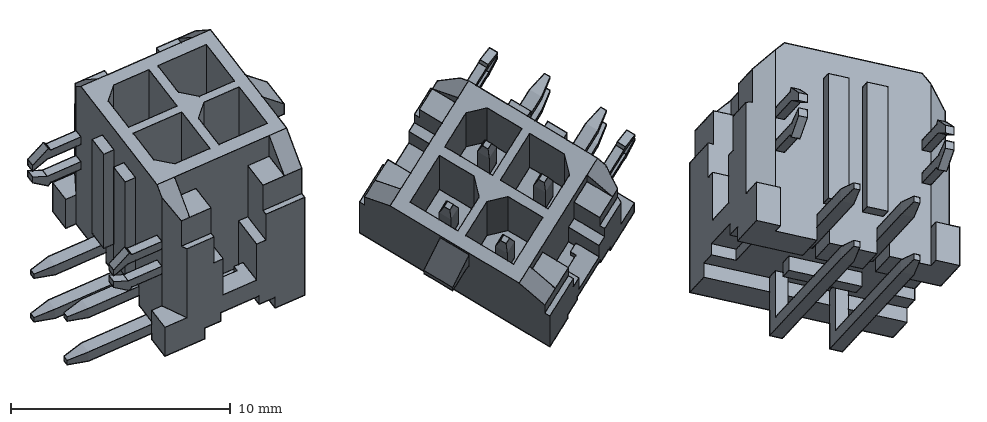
import cadquery as cq


HEIGHT = 9.92
DEPTH = 6.82
HALF_WIDTH = 10.15 / 2
UPPER_HALF_WIDTH = 4.81
CORE_HALF_WIDTH = 3.44
FRONT_HALF_WIDTH = 3.88
STEP_Z = 6.75
SIDE_TOP_Z = 8.49
CORNER_SLANT = 0.62
FRONT_BLOCK_HEIGHT = 2.0
FRONT_PROUD = 0.54
CORNER_WEB = 0.92

CHANNEL_Y = DEPTH / 2
CHANNEL_WIDTH = 2.73
CHANNEL_STEP_Z = 4.97
NARROW_WIDTH = 1.76
CHANNEL_FLOOR_Z = 2.49
POCKET_HALF_WIDTH = 3.84
POCKET_TAB_HALF_WIDTH = 4.13
POCKET_TAB_LENGTH = 0.8
POCKET_DEPTH = 0.7

UNDERCUT_FRONT_Y = 1.56
UNDERCUT_BACK_Y = 5.26
UNDERCUT_HEIGHT = 0.74
SIDE_RELIEF_WIDTH = 2.02
SIDE_RELIEF_INNER_X = POCKET_HALF_WIDTH
SIDE_RELIEF_TOP_Z = 1.32
BAR_Y = 3.39

SOCKET_SIZE = 2.55
SOCKET_PITCH_X = 2.965
SOCKET_FRONT_Y = 1.905
SOCKET_BACK_Y = 4.925
SOCKET_CHAMFER = 0.7
SOCKET_FLOOR_Z = 2.5

PIN_SIZE = 0.64
PIN_PITCH = 3.0
PIN_TIP_SIZE = 0.3
PIN_TAPER = 1.03
PIN_TOP_Z = 7.0
PIN_END_Y = -3.69
FRONT_PIN_Y = 1.56
BACK_PIN_Y = 4.885
FRONT_PIN_TAIL_Z = 1.0
BACK_PIN_TAIL_Z = FRONT_PIN_TAIL_Z - PIN_PITCH

RIB_WIDTH = 1.04
RIB_X = 0.97

LATCH_WIDTH = 1.54
LATCH_REACH = 1.43
LATCH_TOP_Z = 9.55
LATCH_BOTTOM_Z = 7.42
LATCH_FILLET = 0.42

CLIP_THICKNESS = FRONT_HALF_WIDTH - CORE_HALF_WIDTH
CLIP_MID_Z = 5.32
CLIP_INNER = 0.59
CLIP_OUTER = 1.12
CLIP_ROOT = 0.6
BARB_START_Y = -1.58
BARB_PEAK_Y = -1.71
BARB_PEAK = 1.29
BEND_Y = -1.77
CLIP_END_Y = -2.54
CLIP_END_INNER = 0.19
CLIP_END_OUTER = 0.60

SIDES = (-1, 1)


def block(x0, x1, y0, y1, z0, z1):
    """Axis-aligned box given by two opposite corners."""
    lengths = (abs(x1 - x0), abs(y1 - y0), abs(z1 - z0))
    low_corner = cq.Vector(min(x0, x1), min(y0, y1), min(z0, z1))
    return cq.Workplane(obj=cq.Solid.makeBox(*lengths, low_corner))


def centred_block(x, width, y, depth, z0, z1):
    """Box centred on (x, y) and reaching from z0 to z1."""
    return block(x - width / 2, x + width / 2, y - depth / 2, y + depth / 2, z0, z1)


def housing_blank():
    """Front outline with chamfered shoulders and stepped sides, run through the depth."""
    right_edge = [
        (HALF_WIDTH, 0),
        (HALF_WIDTH, STEP_Z),
        (UPPER_HALF_WIDTH, STEP_Z),
        (UPPER_HALF_WIDTH, SIDE_TOP_Z),
        (CORE_HALF_WIDTH, HEIGHT),
    ]
    left_edge = [(-x, z) for x, z in reversed(right_edge)]
    return cq.Workplane("XZ").polyline(right_edge + left_edge).close().extrude(-DEPTH)


def side_cuts(side):
    """Channel, lowered wall top, slanted front corner, clip pocket and foot relief of one side."""
    inner = side * CORE_HALF_WIDTH
    outer = side * HALF_WIDTH
    wall = side * (CORE_HALF_WIDTH + HALF_WIDTH) / 2
    wall_width = HALF_WIDTH - CORE_HALF_WIDTH
    cuts = centred_block(wall, wall_width, CHANNEL_Y, CHANNEL_WIDTH, CHANNEL_STEP_Z, HEIGHT)
    cuts = cuts.union(
        centred_block(wall, wall_width, CHANNEL_Y, NARROW_WIDTH, CHANNEL_FLOOR_Z, HEIGHT)
    )
    cuts = cuts.union(block(inner, outer, CORNER_WEB, DEPTH - CORNER_WEB, SIDE_TOP_Z, HEIGHT))

    corner = [(side * FRONT_HALF_WIDTH, 0), (outer, 0), (outer, CORNER_SLANT)]
    slant = cq.Workplane("XY").workplane(offset=FRONT_BLOCK_HEIGHT).polyline(corner).close()
    cuts = cuts.union(slant.extrude(HEIGHT - FRONT_BLOCK_HEIGHT))

    pocket_floor = CHANNEL_FLOOR_Z - POCKET_DEPTH
    for half_width, length in (
        (POCKET_HALF_WIDTH, NARROW_WIDTH),
        (POCKET_TAB_HALF_WIDTH, POCKET_TAB_LENGTH),
    ):
        pocket_x = side * (CORE_HALF_WIDTH + half_width) / 2
        pocket_width = half_width - CORE_HALF_WIDTH
        cuts = cuts.union(
            centred_block(pocket_x, pocket_width, CHANNEL_Y, length, pocket_floor, CHANNEL_FLOOR_Z)
        )

    relief_front = CHANNEL_Y - SIDE_RELIEF_WIDTH / 2
    relief_back = CHANNEL_Y + SIDE_RELIEF_WIDTH / 2
    relief = block(side * SIDE_RELIEF_INNER_X, outer, relief_front, relief_back, 0, SIDE_RELIEF_TOP_Z)
    return cuts.union(relief)


def undercut():
    """Opening across the whole underside, with a slot to the front below each pin tail."""
    cut = block(-HALF_WIDTH, HALF_WIDTH, UNDERCUT_FRONT_Y, UNDERCUT_BACK_Y, 0, UNDERCUT_HEIGHT)
    slot_depth = UNDERCUT_FRONT_Y
    for side in SIDES:
        pin_x = side * PIN_PITCH / 2
        cut = cut.union(
            centred_block(pin_x, PIN_SIZE, slot_depth / 2, slot_depth, 0, FRONT_PIN_TAIL_Z)
        )
    return cut


def socket(side, y, chamfered_edge):
    """Square contact socket with one chamfered corner."""
    x = side * SOCKET_PITCH_X / 2
    cavity = centred_block(x, SOCKET_SIZE, y, SOCKET_SIZE, SOCKET_FLOOR_Z, HEIGHT)
    return cavity.edges("|Z").edges("<Y").edges(chamfered_edge).chamfer(SOCKET_CHAMFER)


def tapered_tip():
    """Pin tip rising from the origin along +Z."""
    base = cq.Workplane("XY").rect(PIN_SIZE, PIN_SIZE)
    return base.workplane(offset=PIN_TAPER).rect(PIN_TIP_SIZE, PIN_TIP_SIZE).loft(ruled=True)


def pin(x, y, tail_z):
    """Right-angle pin: upright in its socket, tail running out to the front."""
    half = PIN_SIZE / 2
    upright_end = PIN_TOP_Z - PIN_TAPER
    tail_end = PIN_END_Y + PIN_TAPER
    upright = centred_block(x, PIN_SIZE, y, PIN_SIZE, tail_z - half, upright_end)
    tail = block(x - half, x + half, tail_end, y + half, tail_z - half, tail_z + half)
    top_tip = tapered_tip().translate((x, y, upright_end))
    tail_tip = tapered_tip().rotate((0, 0, 0), (1, 0, 0), 90).translate((x, tail_end, tail_z))
    return upright.union(tail).union(top_tip).union(tail_tip)


def latch():
    """Ramped latch on the back face, filleted into it underneath."""
    tip_y = DEPTH + LATCH_REACH
    ramp_end_z = LATCH_TOP_Z - LATCH_REACH
    profile = (
        cq.Workplane("YZ")
        .workplane(offset=-LATCH_WIDTH / 2)
        .moveTo(DEPTH, LATCH_TOP_Z)
        .lineTo(tip_y, ramp_end_z)
        .lineTo(tip_y, LATCH_BOTTOM_Z)
        .lineTo(DEPTH + LATCH_FILLET, LATCH_BOTTOM_Z)
        .radiusArc((DEPTH, LATCH_BOTTOM_Z - LATCH_FILLET), -LATCH_FILLET)
        .close()
    )
    return profile.extrude(LATCH_WIDTH)


def clip_leg(side, direction):
    """Barbed leg above (direction 1) or below (-1) the middle of a board clip."""
    outline = [
        (CLIP_ROOT, CLIP_OUTER),
        (BARB_START_Y, CLIP_OUTER),
        (BARB_PEAK_Y, BARB_PEAK),
        (CLIP_END_Y, CLIP_END_OUTER),
        (CLIP_END_Y, CLIP_END_INNER),
        (BEND_Y, CLIP_INNER),
        (CLIP_ROOT, CLIP_INNER),
    ]
    points = [(y, CLIP_MID_Z + direction * offset) for y, offset in outline]
    start_x = min(side * CORE_HALF_WIDTH, side * FRONT_HALF_WIDTH)
    profile = cq.Workplane("YZ").workplane(offset=start_x).polyline(points).close()
    return profile.extrude(CLIP_THICKNESS)


result = housing_blank().cut(undercut())
for side in SIDES:
    result = result.cut(side_cuts(side))
    outer_edge = ">X" if side > 0 else "<X"
    inner_edge = "<X" if side > 0 else ">X"
    result = result.cut(socket(side, SOCKET_FRONT_Y, outer_edge))
    result = result.cut(socket(side, SOCKET_BACK_Y, inner_edge))

bar_length = PIN_PITCH + PIN_SIZE
result = result.union(centred_block(0, bar_length, BAR_Y, PIN_SIZE, 0, UNDERCUT_HEIGHT))

for side in SIDES:
    front_x = side * FRONT_HALF_WIDTH
    outer_x = side * HALF_WIDTH
    result = result.union(block(front_x, outer_x, -FRONT_PROUD, 0, 0, FRONT_BLOCK_HEIGHT))
    rib = centred_block(
        side * RIB_X, RIB_WIDTH, -FRONT_PROUD / 2, FRONT_PROUD, FRONT_BLOCK_HEIGHT, SIDE_TOP_Z
    )
    result = result.union(rib)
    for direction in SIDES:
        result = result.union(clip_leg(side, direction))
result = result.union(latch())

for side in SIDES:
    pin_x = side * PIN_PITCH / 2
    result = result.union(pin(pin_x, FRONT_PIN_Y, FRONT_PIN_TAIL_Z))
    result = result.union(pin(pin_x, BACK_PIN_Y, BACK_PIN_TAIL_Z))